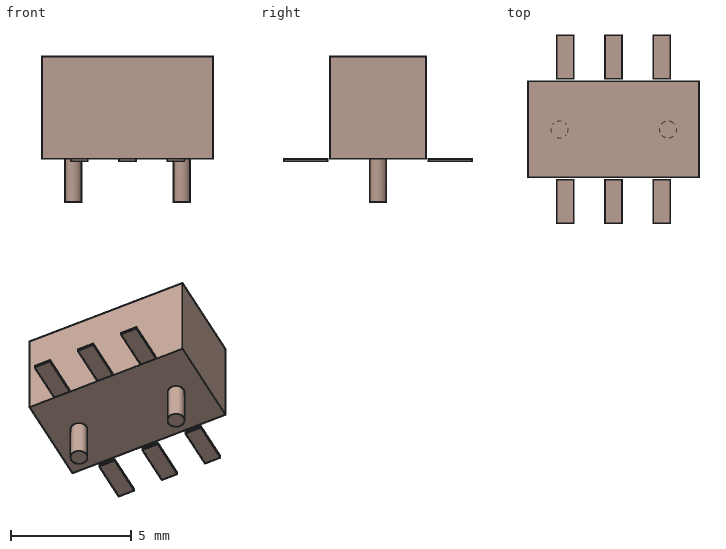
import cadquery as cq

body_length = 7.1
body_width = 4.0
body_height = 4.255
post_diameter = 0.7
post_length = 1.8
post_spacing = 4.505
terminal_span = 7.82
terminal_length = 1.82
terminal_width = 0.72
terminal_thickness = 0.1
terminal_pitch = 2.0

terminal_center_y = (terminal_span - terminal_length) / 2


def make_body():
    """Rectangular housing resting on the plane Z = 0."""
    return cq.Workplane("XY").box(
        body_length, body_width, body_height, centered=(True, True, False)
    )


def make_post(x):
    """Round locating post hanging from the bottom of the housing."""
    return (
        cq.Workplane("XY")
        .center(x, 0)
        .circle(post_diameter / 2)
        .extrude(-post_length)
    )


def make_terminal(x, y):
    """Flat terminal strip with its top face level with the housing bottom."""
    return (
        cq.Workplane("XY")
        .center(x, y)
        .rect(terminal_width, terminal_length)
        .extrude(-terminal_thickness)
    )


body = make_body()

posts = []
for side in (-1, 1):
    posts.append(make_post(side * post_spacing / 2).val())

terminals = []
for side in (-1, 1):
    for column in (-1, 0, 1):
        terminal = make_terminal(column * terminal_pitch, side * terminal_center_y)
        terminals.append(terminal.val())

result = cq.Compound.makeCompound([body.val(), *posts, *terminals])